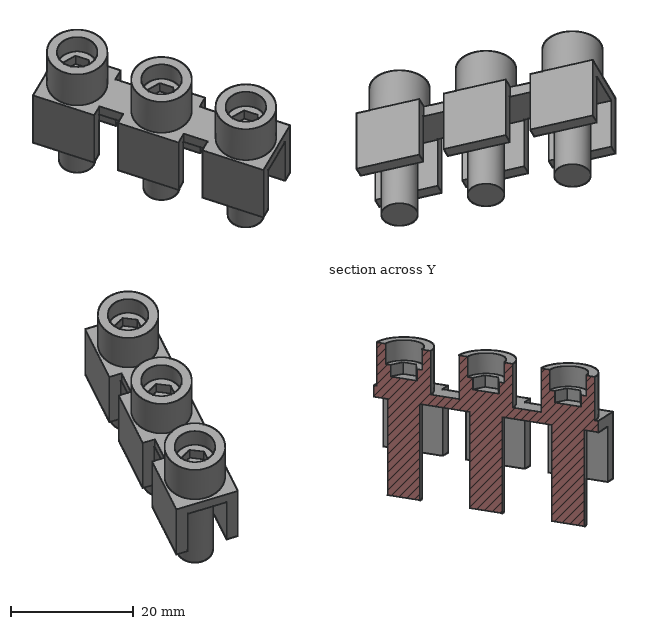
import cadquery as cq
import math

station_count = 3
pitch = 15.0
station_xs = [(i - (station_count - 1) / 2) * pitch for i in range(station_count)]

body_length = 41.0
body_width = 10.78
body_height = 11.5
wall = 2.0
channel_width = body_width - 2 * wall
channel_depth = body_height - wall

block_length = body_width
bridge_length = pitch - block_length
bridge_width = 6.5

collar_diameter = 9.9
collar_height = 7.5
bore_diameter = 6.6
bore_depth = 3.5
shank_diameter = 6.0
shank_projection = 7.0

socket_across_flats = 4.1
socket_across_corners = socket_across_flats / math.cos(math.pi / 6)
socket_depth = 2.0


def make_channel():
    """Inverted U section running the full length in X."""
    block = cq.Workplane("XY").box(body_length, body_width, body_height, centered=(True, True, False))
    slot = cq.Workplane("XY").box(body_length, channel_width, channel_depth, centered=(True, True, False))
    return block.cut(slot).translate((0, 0, -body_height))


def make_gap_cutter(center_x, side):
    """Material removed beside a bridge; side is -1 or +1 along Y."""
    gap_width = (body_width - bridge_width) / 2
    center_y = side * (bridge_width + gap_width) / 2
    cutter = cq.Workplane("XY").box(bridge_length, gap_width, body_height)
    return cutter.translate((center_x, center_y, -body_height / 2))


def make_station(center_x):
    """Collar standing on the body and shank hanging through the channel."""
    collar = cq.Workplane("XY").circle(collar_diameter / 2).extrude(collar_height)
    shank_length = body_height + shank_projection
    shank = cq.Workplane("XY").circle(shank_diameter / 2).extrude(-shank_length)
    return collar.union(shank).translate((center_x, 0, 0))


def make_socket_cutter(center_x):
    """Round bore with a hexagon socket, corners pointing along X."""
    bore_floor = collar_height - bore_depth
    bore = cq.Workplane("XY").workplane(offset=bore_floor).circle(bore_diameter / 2).extrude(bore_depth)
    socket = (
        cq.Workplane("XY")
        .workplane(offset=bore_floor)
        .polygon(6, socket_across_corners)
        .extrude(-socket_depth)
    )
    return bore.union(socket).translate((center_x, 0, 0))


result = make_channel()

for left_x in station_xs[:-1]:
    for side in (-1, 1):
        result = result.cut(make_gap_cutter(left_x + pitch / 2, side))

for station_x in station_xs:
    result = result.union(make_station(station_x))
    result = result.cut(make_socket_cutter(station_x))